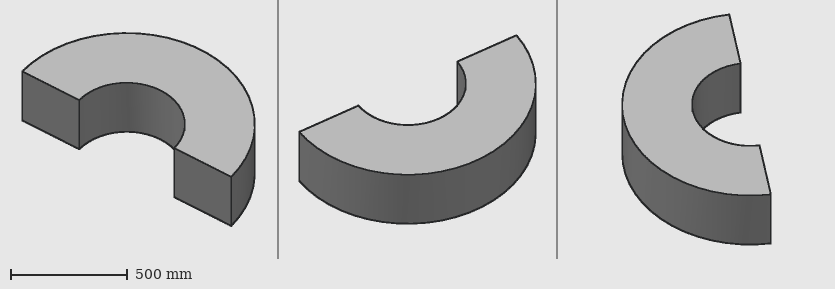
import cadquery as cq

outer_radius = 550.0
section_side = 300.0
inner_radius = outer_radius - section_side

result = (
    cq.Workplane("XY")
    .moveTo(outer_radius, 0)
    .threePointArc((0, outer_radius), (-outer_radius, 0))
    .lineTo(-inner_radius, 0)
    .threePointArc((0, inner_radius), (inner_radius, 0))
    .close()
    .extrude(section_side)
)